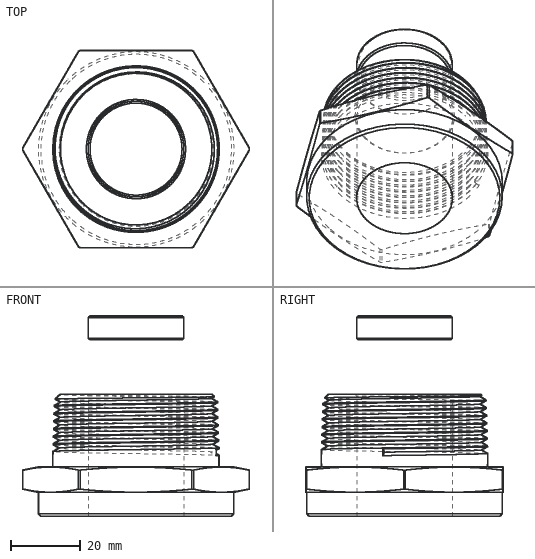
import cadquery as cq
import math

flange_radius = 28.3
flange_height = 6.95
flange_chamfer = 0.7

hex_across_flats = 57.15
hex_corner_radius = 32.85
hex_top_z = 14.3
hex_chamfer_height = 0.9

neck_radius = 24.1
neck_fillet = 0.25
taper_start_z = 17.8
plug_height = 35.4
taper_slope = 1 / 32
neck_top_radius = neck_radius - taper_slope * (plug_height - taper_start_z)
neck_chamfer = 1.65

thread_turns = 8
thread_rise = 17.75
thread_pitch = thread_rise / thread_turns
thread_depth = 1.7
thread_half_angle = math.radians(30)
thread_start_z = 18.6
thread_start_angle = -15.0
groove_clearance = 0.05

bore_radius = 13.85
bore_chamfer = 0.5
disc_height = 6.95
disc_top_z = 58.1
disc_chamfer = 0.5


def cylinder(radius, bottom_z, top_z):
    return cq.Workplane("XY").workplane(offset=bottom_z).circle(radius).extrude(top_z - bottom_z)


def make_flange():
    return cylinder(flange_radius, 0, flange_height).faces("<Z").edges().chamfer(flange_chamfer)


def make_hex_collar():
    """Hexagon with its corners turned to a radius and chamfered conically at both ends."""
    hexagon_diameter = hex_across_flats / math.cos(math.pi / 6)
    hexagon = (
        cq.Workplane("XY")
        .workplane(offset=flange_height)
        .polygon(6, hexagon_diameter)
        .extrude(hex_top_z - flange_height)
    )
    turned_blank = (
        cq.Workplane("XZ")
        .moveTo(0, flange_height)
        .lineTo(flange_radius, flange_height)
        .lineTo(hex_corner_radius, flange_height + hex_chamfer_height)
        .lineTo(hex_corner_radius, hex_top_z - hex_chamfer_height)
        .lineTo(flange_radius, hex_top_z)
        .lineTo(0, hex_top_z)
        .close()
        .revolve(360, (0, 0), (0, 1))
    )
    return hexagon.intersect(turned_blank)


def make_neck():
    """Neck blank with a small fillet at the hexagon and its seam on -X, away from the thread start."""
    chamfer_z = plug_height - neck_chamfer
    chamfer_radius = neck_top_radius + taper_slope * neck_chamfer
    fillet_middle = neck_fillet * (1 - math.sqrt(0.5))
    return (
        cq.Workplane("XZ")
        .moveTo(0, hex_top_z)
        .lineTo(neck_radius + neck_fillet, hex_top_z)
        .threePointArc(
            (neck_radius + fillet_middle, hex_top_z + fillet_middle),
            (neck_radius, hex_top_z + neck_fillet),
        )
        .lineTo(neck_radius, taper_start_z)
        .lineTo(chamfer_radius, chamfer_z)
        .lineTo(chamfer_radius - neck_chamfer, plug_height)
        .lineTo(0, plug_height)
        .close()
        .revolve(360, (0, 0), (0, 1))
        .rotate((0, 0, 0), (0, 0, 1), 180)
    )


def make_thread_helix(radius, bottom_z):
    """Helix wire that starts at the XZ plane and narrows upward with the taper."""
    return cq.Wire.makeHelix(
        thread_pitch,
        thread_rise,
        radius,
        center=cq.Vector(0, 0, bottom_z),
        angle=-math.degrees(math.atan(taper_slope)),
    )


def make_thread_groove():
    """V groove bounded by two flanks and an outer strip, each ruled between a pair of helices."""
    start_radius = neck_radius - taper_slope * (thread_start_z - taper_start_z)
    root_radius = start_radius - thread_depth
    outer_radius = start_radius + groove_clearance
    half_width = (outer_radius - root_radius) * math.tan(thread_half_angle)
    helices = [
        make_thread_helix(root_radius, thread_start_z),
        make_thread_helix(outer_radius, thread_start_z + half_width),
        make_thread_helix(outer_radius, thread_start_z - half_width),
    ]
    strips = [cq.Face.makeRuledSurface(helices[i - 1], helices[i]) for i in range(3)]
    end_caps = [
        cq.Face.makeFromWires(cq.Wire.makePolygon([helix.positionAt(end) for helix in helices], close=True))
        for end in (0, 1)
    ]
    groove = cq.Workplane(obj=cq.Solid.makeSolid(cq.Shell.makeShell(strips + end_caps)))
    return groove.rotate((0, 0, 0), (0, 0, 1), thread_start_angle)


def make_plug():
    threaded_neck = make_neck().cut(make_thread_groove())
    bore = cylinder(bore_radius, 0, plug_height)
    bore_mouth = (
        cq.Workplane("XY")
        .workplane(offset=plug_height)
        .circle(bore_radius + bore_chamfer)
        .workplane(offset=-bore_chamfer)
        .circle(bore_radius)
        .loft()
    )
    return make_flange().union(make_hex_collar()).union(threaded_neck).cut(bore).cut(bore_mouth)


def make_disc():
    """Plain disc lifted out above the bore, chamfered on both rims."""
    return cylinder(bore_radius, disc_top_z - disc_height, disc_top_z).edges("%CIRCLE").chamfer(disc_chamfer)


plug = make_plug()
disc = make_disc()
result = cq.Compound.makeCompound([*plug.solids().vals(), disc.val()])